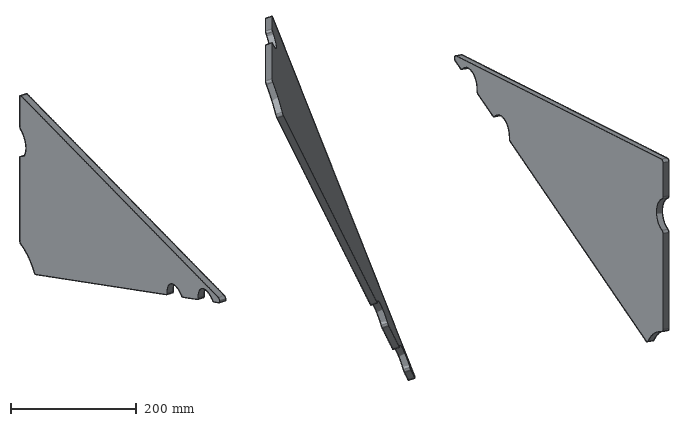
import cadquery as cq
import math

length = 656.5
thickness = 11.0
slope_angle = math.radians(27.0)
corner_radius = 5.0

notch_radius = 28.0
notch_offset = 8.0
back_notch_z = -92.0
slope_notch_xs = (512.0, 614.0)

corner_cut_radius = 67.5
corner_cut_x = -8.0
corner_cut_z = -353.0

apex_x = length - corner_radius + corner_radius / math.tan(slope_angle / 2)


def slope_z(x):
    """Height of the sloping lower edge at a given x."""
    return (x - apex_x) * math.tan(slope_angle)


def disc(x, z, radius):
    """Cylinder along Y that passes through the whole panel thickness."""
    return cq.Workplane("XZ").center(x, z).circle(radius).extrude(thickness / 2, both=True)


panel = (
    cq.Workplane("XZ")
    .polyline([(0, 0), (apex_x, 0), (0, slope_z(0))])
    .close()
    .extrude(thickness / 2, both=True)
)

panel = panel.cut(disc(-notch_offset, back_notch_z, notch_radius))

for notch_x in slope_notch_xs:
    notch_z = slope_z(notch_x) - notch_offset / math.cos(slope_angle)
    panel = panel.cut(disc(notch_x, notch_z, notch_radius))

panel = panel.cut(disc(corner_cut_x, corner_cut_z, corner_cut_radius))

result = panel.edges("|Y").fillet(corner_radius)